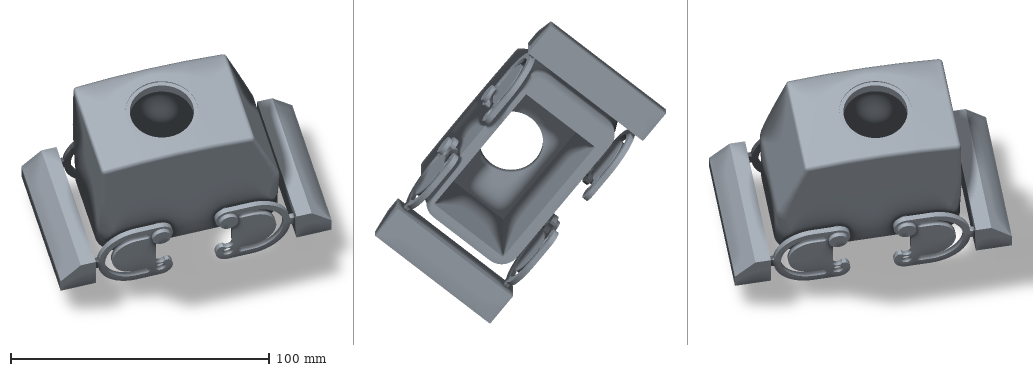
import cadquery as cq
import math

HOOD_HALF_WIDTH = 21.5
HOOD_HALF_LENGTH = 36.5
SEAL_HEIGHT = 5.2
WALL_DRAFT = math.radians(0.75)
BACK_SLOPE = math.radians(20)
BEND_HEIGHT = 23.1
BEND_RADIUS = 9.6

ENTRY_Y = -5.9
ROOF_CREST = 54.7
ROOF_RADIUS = 283.4
ROOF_EDGE_FILLET = 1.5
ENTRY_RADIUS = 12.4
SPOTFACE_RADIUS = 14.1
SPOTFACE_DEPTH = 0.5
CEILING_HEIGHT = 50.1

WALL_THICKNESS = 4.4
CAVITY_BACK_Y = 24.9

CORNER_RADIUS_SEAL = 7.6
CORNER_RADIUS_TOP = 1.6
FRONT_TAPER = 29.4
BACK_TAPER = 37.1
CORNER_SECTIONS = 11
CUTTER_MARGIN = 3.3

PLATE_INNER_X = 23.8
PLATE_THICKNESS = 2.1
LATCH_MID_Z = -0.7
PIVOT_Y = 13.5
PIVOT_OFFSET = 10.6
EYE_RADIUS = 4.9
BOW_RADIUS = PIVOT_OFFSET + EYE_RADIUS
BOW_CENTER_Y = 23.2
EYE_FLAT = 3.7
NOTCH_RADIUS = 2.1
NOTCH_OFFSET = 4.7
SLOT_RADIUS = 11.2
SLOT_WIDTH = 2.9
SLOT_END_Y = 19.3

PIN_RADIUS = 2.1
HEAD_RADIUS = 3.7
HEAD_HEIGHT = 1.7

HANDLE_WIDTH = 57.0
HANDLE_INNER_Y = 40.3
HANDLE_OUTER_Y = 54.5
HANDLE_TOP_Z = 5.3
HANDLE_BOTTOM_Z = -8.5
BEVEL_TOP_Y = 46.4
BEVEL_BOTTOM_Z = -2.3
STEM_HEIGHT = 4.0

bend_y = HOOD_HALF_LENGTH - (BEND_HEIGHT - SEAL_HEIGHT) * math.tan(WALL_DRAFT)
bend_tangent = BEND_RADIUS * math.tan((BACK_SLOPE - WALL_DRAFT) / 2)
bend_start = (
    bend_y + bend_tangent * math.sin(WALL_DRAFT),
    BEND_HEIGHT - bend_tangent * math.cos(WALL_DRAFT),
)
bend_end = (
    bend_y - bend_tangent * math.sin(BACK_SLOPE),
    BEND_HEIGHT + bend_tangent * math.cos(BACK_SLOPE),
)
bend_center = (
    bend_start[0] - BEND_RADIUS * math.cos(WALL_DRAFT),
    bend_start[1] - BEND_RADIUS * math.sin(WALL_DRAFT),
)


def front_wall_y(z):
    return -HOOD_HALF_LENGTH + (z - SEAL_HEIGHT) * math.tan(WALL_DRAFT)


def back_wall_y(z):
    if z <= bend_start[1]:
        return HOOD_HALF_LENGTH - (z - SEAL_HEIGHT) * math.tan(WALL_DRAFT)
    if z <= bend_end[1]:
        return bend_center[0] + math.sqrt(BEND_RADIUS**2 - (z - bend_center[1]) ** 2)
    return bend_y - (z - BEND_HEIGHT) * math.tan(BACK_SLOPE)


def corner_radius(z, taper):
    """Radius that falls along a parabola from the seal and then stays constant."""
    remaining = max(0, 1 - (z - SEAL_HEIGHT) / taper)
    return CORNER_RADIUS_TOP + (CORNER_RADIUS_SEAL - CORNER_RADIUS_TOP) * remaining**2


def corner_cutter(wall_y, y_side, taper, z_start, z_end):
    """Loft that rounds the +X corner at the wall on the y_side (+1 or -1)."""
    outer_x = HOOD_HALF_WIDTH + CUTTER_MARGIN
    wires = []
    for i in range(CORNER_SECTIONS):
        z = z_start + (z_end - z_start) * i / (CORNER_SECTIONS - 1)
        y = wall_y(z)
        r = corner_radius(z, taper)
        bulge = r * (1 - math.sqrt(0.5))
        outline = (
            cq.Workplane("XY", origin=(0, 0, z))
            .moveTo(HOOD_HALF_WIDTH, y - y_side * r)
            .threePointArc((HOOD_HALF_WIDTH - bulge, y - y_side * bulge), (HOOD_HALF_WIDTH - r, y))
            .lineTo(HOOD_HALF_WIDTH - r, y + y_side * CUTTER_MARGIN)
            .lineTo(outer_x, y + y_side * CUTTER_MARGIN)
            .lineTo(outer_x, y - y_side * r)
            .close()
        )
        wires.append(outline.val())
    return cq.Workplane(cq.Solid.makeLoft(wires))


def make_hood_block():
    """Outer shape of the hood with rounded corners and roof edges."""
    top_z = ROOF_CREST + CUTTER_MARGIN
    bend_middle_z = (bend_start[1] + bend_end[1]) / 2
    block = (
        cq.Workplane("YZ")
        .moveTo(front_wall_y(SEAL_HEIGHT), SEAL_HEIGHT)
        .lineTo(HOOD_HALF_LENGTH, SEAL_HEIGHT)
        .lineTo(*bend_start)
        .threePointArc((back_wall_y(bend_middle_z), bend_middle_z), bend_end)
        .lineTo(back_wall_y(top_z), top_z)
        .lineTo(front_wall_y(top_z), top_z)
        .close()
        .extrude(HOOD_HALF_WIDTH, both=True)
    )
    cutters = [
        corner_cutter(front_wall_y, -1, FRONT_TAPER, SEAL_HEIGHT, top_z),
        corner_cutter(back_wall_y, 1, BACK_TAPER, SEAL_HEIGHT, bend_start[1]),
        corner_cutter(back_wall_y, 1, BACK_TAPER, bend_start[1], bend_end[1]),
        corner_cutter(back_wall_y, 1, BACK_TAPER, bend_end[1], top_z),
    ]
    for cutter in cutters:
        block = block.cut(cutter).cut(cutter.mirror("YZ"))
    crown = (
        cq.Workplane("YZ")
        .center(ENTRY_Y, ROOF_CREST - ROOF_RADIUS)
        .circle(ROOF_RADIUS)
        .extrude(2 * HOOD_HALF_WIDTH, both=True)
    )
    block = block.intersect(crown)
    return block.faces(">Z").edges().fillet(ROOF_EDGE_FILLET)


def make_cavity(z_bottom, z_top):
    front_y = WALL_THICKNESS - HOOD_HALF_LENGTH
    return (
        cq.Workplane("XY", origin=(0, (front_y + CAVITY_BACK_Y) / 2, z_bottom))
        .rect(2 * (HOOD_HALF_WIDTH - WALL_THICKNESS), CAVITY_BACK_Y - front_y)
        .extrude(z_top - z_bottom)
    )


def make_hood_shell():
    entry = cq.Workplane("XY", origin=(0, ENTRY_Y, CEILING_HEIGHT)).circle(ENTRY_RADIUS)
    spotface = cq.Workplane("XY", origin=(0, ENTRY_Y, ROOF_CREST - SPOTFACE_DEPTH)).circle(SPOTFACE_RADIUS)
    return (
        make_hood_block()
        .cut(make_cavity(SEAL_HEIGHT, CEILING_HEIGHT))
        .cut(entry.extrude(ROOF_CREST - CEILING_HEIGHT))
        .cut(spotface.extrude(SPOTFACE_DEPTH))
    )


def bow_outline(radius, end_y):
    """Closed U outline in YZ, relative to the latch middle, open side at end_y."""
    return (
        cq.Workplane("YZ", origin=(PLATE_INNER_X, 0, LATCH_MID_Z))
        .moveTo(end_y, radius)
        .lineTo(BOW_CENTER_Y, radius)
        .threePointArc((BOW_CENTER_Y + radius, 0), (BOW_CENTER_Y, -radius))
        .lineTo(end_y, -radius)
        .close()
        .extrude(PLATE_THICKNESS)
    )


def plate_disc(y, z, radius):
    return (
        cq.Workplane("YZ", origin=(PLATE_INNER_X, y, LATCH_MID_Z + z))
        .circle(radius)
        .extrude(PLATE_THICKNESS)
    )


def make_plate():
    """Latch plate on the +X, +Y side with its eyes, peg hole and U slot."""
    plate = bow_outline(BOW_RADIUS, PIVOT_Y)
    for side in (1, -1):
        plate = plate.union(plate_disc(PIVOT_Y, side * PIVOT_OFFSET, EYE_RADIUS))

    flat_z = PIVOT_OFFSET - EYE_FLAT
    notch_half_width = math.sqrt(NOTCH_RADIUS**2 - (NOTCH_OFFSET - EYE_FLAT) ** 2)
    inner_edge_y = PIVOT_Y + notch_half_width
    gap_width = notch_half_width + EYE_RADIUS
    gap = (
        cq.Workplane("YZ", origin=(PLATE_INNER_X, inner_edge_y - gap_width / 2, LATCH_MID_Z))
        .rect(gap_width, 2 * flat_z)
        .extrude(PLATE_THICKNESS)
    )
    plate = plate.cut(gap)
    for side in (1, -1):
        plate = plate.cut(plate_disc(PIVOT_Y, side * (PIVOT_OFFSET - NOTCH_OFFSET), NOTCH_RADIUS))

    slot = bow_outline(SLOT_RADIUS + SLOT_WIDTH / 2, SLOT_END_Y)
    slot = slot.cut(bow_outline(SLOT_RADIUS - SLOT_WIDTH / 2, SLOT_END_Y))
    for side in (1, -1):
        slot = slot.union(plate_disc(SLOT_END_Y, side * SLOT_RADIUS, SLOT_WIDTH / 2))

    peg_hole = plate_disc(PIVOT_Y, -PIVOT_OFFSET, PIN_RADIUS)
    return plate.cut(slot).cut(peg_hole)


def make_pin():
    """Headed pivot pin from the +X hood wall through the plate."""
    plate_outer_x = PLATE_INNER_X + PLATE_THICKNESS
    pivot_z = LATCH_MID_Z + PIVOT_OFFSET
    shank = (
        cq.Workplane("YZ", origin=(HOOD_HALF_WIDTH, PIVOT_Y, pivot_z))
        .circle(PIN_RADIUS)
        .extrude(plate_outer_x - HOOD_HALF_WIDTH)
    )
    head = (
        cq.Workplane("YZ", origin=(plate_outer_x, PIVOT_Y, pivot_z))
        .circle(HEAD_RADIUS)
        .extrude(HEAD_HEIGHT)
    )
    return shank.union(head)


def make_stem():
    """Short bar that joins the +X plate to the handle."""
    bow_middle_y = BOW_CENTER_Y + SLOT_RADIUS + SLOT_WIDTH / 2
    stem_length = HANDLE_INNER_Y - bow_middle_y
    return (
        cq.Workplane("YZ", origin=(PLATE_INNER_X, bow_middle_y + stem_length / 2, LATCH_MID_Z))
        .rect(stem_length, STEM_HEIGHT)
        .extrude(PLATE_THICKNESS)
    )


def make_handle():
    """Bevelled grip bar on the +Y side."""
    return (
        cq.Workplane("YZ")
        .moveTo(HANDLE_INNER_Y, HANDLE_BOTTOM_Z)
        .lineTo(HANDLE_OUTER_Y, HANDLE_BOTTOM_Z)
        .lineTo(HANDLE_OUTER_Y, BEVEL_BOTTOM_Z)
        .lineTo(BEVEL_TOP_Y, HANDLE_TOP_Z)
        .lineTo(HANDLE_INNER_Y, HANDLE_TOP_Z)
        .close()
        .extrude(HANDLE_WIDTH / 2, both=True)
    )


def make_hood():
    """Hood in one piece with its two latches."""
    latch_side = make_plate().union(make_stem()).union(make_pin())
    latch = make_handle().union(latch_side).union(latch_side.mirror("YZ"))
    return make_hood_shell().union(latch).union(latch.mirror("XZ"))


def make_seal():
    """Straight rim under the hood, open in the middle like the cavity."""
    return (
        cq.Workplane("XY")
        .rect(2 * HOOD_HALF_WIDTH, 2 * HOOD_HALF_LENGTH)
        .extrude(SEAL_HEIGHT)
        .edges("|Z")
        .fillet(CORNER_RADIUS_SEAL)
        .cut(make_cavity(0, SEAL_HEIGHT))
    )


hood = make_hood()
seal = make_seal()
result = cq.Compound.makeCompound([hood.solids().val(), seal.solids().val()])